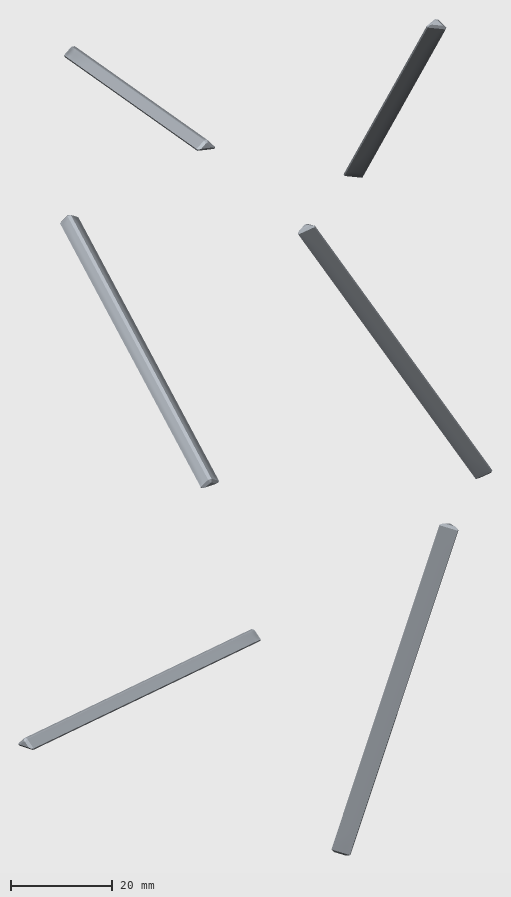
import cadquery as cq
import math

length = 71.0
width = 3.9
height = 2.0
side_inset = 0.15
top_flat = 0.7
end_bevel = 0.5

half_width = width / 2
half_top = top_flat / 2
side_height = height - (half_width - half_top)

half_section = [
    (half_width - side_inset, 0),
    (half_width, side_height),
    (half_top, height),
]
section = half_section + [(-y, z) for y, z in reversed(half_section)]


def make_bar():
    return cq.Workplane("YZ").polyline(section).close().extrude(length / 2, both=True)


def end_bevel_envelope(start, finish):
    """Wide block with bevelled ends whose outer face lies on one long face."""
    run = finish[0] - start[0]
    rise = finish[1] - start[1]
    edge_length = math.hypot(run, rise)
    along_edge = cq.Vector(0, run / edge_length, rise / edge_length)
    face_plane = cq.Plane(origin=(0, *start), xDir=(1, 0, 0), normal=-along_edge)

    half_length = length / 2
    profile = [
        (-half_length + end_bevel, 0),
        (half_length - end_bevel, 0),
        (half_length, end_bevel),
        (half_length, width),
        (-half_length, width),
        (-half_length, end_bevel),
    ]
    return cq.Workplane(face_plane).polyline(profile).close().extrude(2 * width, both=True)


result = make_bar()
for start, finish in zip(section, section[1:] + section[:1]):
    result = result.intersect(end_bevel_envelope(start, finish))